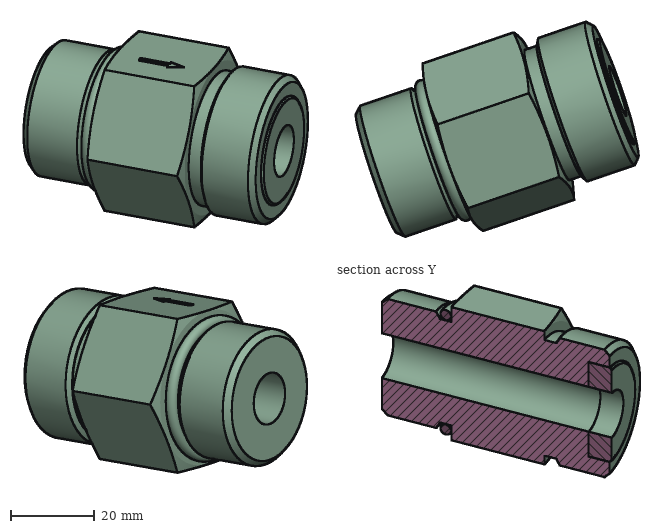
import cadquery as cq
import math

total_length = 61.4
bore_diameter = 12.65

hex_sides = 6
hex_across_flats = 38.1
hex_start = 18.55
hex_end = 43.4
hex_face_diameter = 37.9
hex_chamfer_angle = 15.0

left_thread_diameter = 33.35
left_face_diameter = 30.4
left_lead_chamfer = 1.6
left_thread_end = 15.4
left_back_chamfer = 0.9

right_thread_diameter = 36.5
right_face_diameter = 33.55
neck_diameter = 33.15
right_thread_start = 46.6
right_back_chamfer = 0.85
right_lead_chamfer = 1.4

insert_diameter = 26.8
insert_length = 6.15
insert_protrusion = 0.55
insert_chamfer = 0.5

ring_section_diameter = 2.95
ring_outer_diameter = 35.6

arrow_tail = 25.05
arrow_length = 11.4
arrow_head_length = 3.8
arrow_head_width = 2.7
arrow_shaft_width = 1.2
arrow_center_y = -2.6
arrow_depth = 0.1

housing_end = total_length - insert_protrusion
insert_start = total_length - insert_length
ring_center_radius = (ring_outer_diameter - ring_section_diameter) / 2
groove_diameter = ring_outer_diameter - 2 * ring_section_diameter
hex_across_corners = hex_across_flats / math.cos(math.pi / hex_sides)
hex_corner_drop = (hex_across_corners - hex_face_diameter) / 2
hex_corner_chamfer = hex_corner_drop * math.tan(math.radians(hex_chamfer_angle))


def revolve_profile(stations):
    """Solid of revolution about X through a list of (x, diameter) stations."""
    first_x = stations[0][0]
    last_x = stations[-1][0]
    outline = [(x, diameter / 2) for x, diameter in stations]
    return (
        cq.Workplane("XY")
        .polyline([(first_x, 0), *outline, (last_x, 0)])
        .close()
        .revolve(360, (0, 0, 0), (1, 0, 0))
    )


def cylinder(diameter, start, end):
    return cq.Workplane("YZ").workplane(offset=start).circle(diameter / 2).extrude(end - start)


def left_stub():
    return revolve_profile([
        (0, left_face_diameter),
        (left_lead_chamfer, left_thread_diameter),
        (left_thread_end - left_back_chamfer, left_thread_diameter),
        (left_thread_end, left_face_diameter),
        (left_thread_end, groove_diameter),
        (hex_start, groove_diameter),
    ])


def right_stub():
    return revolve_profile([
        (hex_end, neck_diameter),
        (right_thread_start, neck_diameter),
        (right_thread_start, right_face_diameter),
        (right_thread_start + right_back_chamfer, right_thread_diameter),
        (housing_end - right_lead_chamfer, right_thread_diameter),
        (housing_end, right_face_diameter),
    ])


def hexagon():
    """Hexagonal prism with flats at top and bottom and conically turned corners."""
    prism = (
        cq.Workplane("YZ")
        .workplane(offset=hex_start)
        .polygon(hex_sides, hex_across_corners)
        .extrude(hex_end - hex_start)
    )
    turned_envelope = revolve_profile([
        (hex_start, hex_face_diameter),
        (hex_start + hex_corner_chamfer, hex_across_corners),
        (hex_end - hex_corner_chamfer, hex_across_corners),
        (hex_end, hex_face_diameter),
    ])
    return prism.intersect(turned_envelope)


def flow_arrow():
    tip = arrow_tail + arrow_length
    head_base = tip - arrow_head_length
    half_shaft = arrow_shaft_width / 2
    half_head = arrow_head_width / 2
    return (
        cq.Workplane("XY", origin=(0, arrow_center_y, hex_across_flats / 2))
        .polyline([
            (arrow_tail, -half_shaft),
            (head_base, -half_shaft),
            (head_base, -half_head),
            (tip, 0),
            (head_base, half_head),
            (head_base, half_shaft),
            (arrow_tail, half_shaft),
        ])
        .close()
        .extrude(-arrow_depth)
    )


def make_housing():
    return (
        left_stub()
        .union(hexagon())
        .union(right_stub())
        .cut(cylinder(bore_diameter, 0, housing_end))
        .cut(cylinder(insert_diameter, insert_start, housing_end))
        .cut(flow_arrow())
    )


def make_insert():
    """Bored insert filling the recess in the right end of the housing."""
    return (
        cylinder(insert_diameter, insert_start, total_length)
        .faces(">X")
        .chamfer(insert_chamfer)
        .cut(cylinder(bore_diameter, insert_start, total_length))
    )


def make_o_ring():
    return (
        cq.Workplane("XY")
        .center(hex_start - ring_section_diameter / 2, ring_center_radius)
        .circle(ring_section_diameter / 2)
        .revolve(360, (0, -ring_center_radius, 0), (1, -ring_center_radius, 0))
    )


housing = make_housing()
insert = make_insert()
o_ring = make_o_ring()

result = cq.Compound.makeCompound([housing.val(), insert.val(), o_ring.val()])